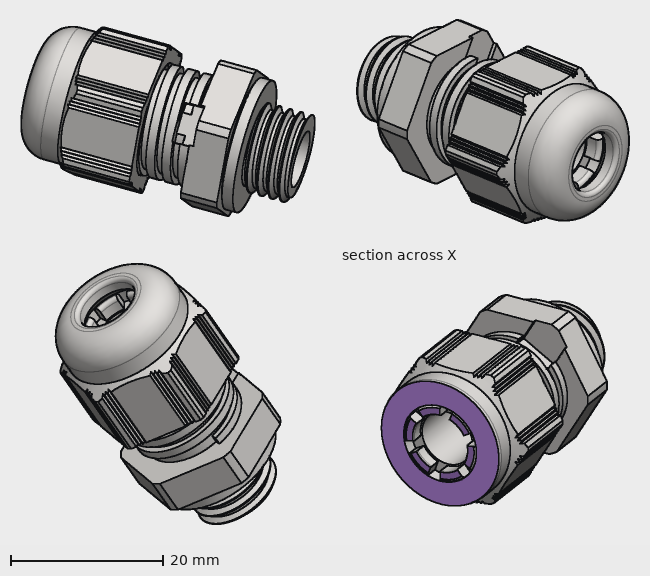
import cadquery as cq
import math


DOME_END_X = 6.15
CAP_END_X = 16.65
HEX_START_X = 23.7
HEX_END_X = 28.7
WASHER_START_X = 28.9
WASHER_END_X = 30.4
TOTAL_LENGTH = 36.75

DOME_DIAMETER = 17.97
DOME_FACE_DIAMETER = 10.47
DOME_ROUNDING = (DOME_DIAMETER - DOME_FACE_DIAMETER) / 2
CAP_ACROSS_FLATS = 19.05
CAP_ACROSS_CORNERS = 21.7
CAP_CONE_END_X = 7.57
CABLE_DIAMETER = 8.25
CABLE_LIP_ROUNDING = 0.6
CABLE_LIP_END_X = 1.9
FINGER_CHAMBER_DIAMETER = 11.25
FINGER_CHAMBER_END_X = 9.92
CAP_BORE_DIAMETER = 15.3
GROOVE_WIDTH = 0.48
GROOVE_PITCH = 0.5
GROOVE_DEPTH = GROOVE_WIDTH / 2 * math.sqrt(3)
GROOVES_PER_GROUP = 3
GROOVE_GROUP_CENTRE = 3.68

BODY_BORE_DIAMETER = 7.65
TUBE_START_X = 10.3
TUBE_DIAMETER = 13.38
HEX_ACROSS_FLATS = 18.9
HEX_ACROSS_CORNERS = 21.13
SEAT_DIAMETER = 17.13

FINGER_START_X = 2.95
FINGER_ROOT_X = 5.15
FINGER_BORE_DIAMETER = 8.15
FINGER_DIAMETER = 11.02
FINGER_TAPER = 0.65
FINGER_ROUNDING = 0.6
FINGER_COUNT = 6
FINGER_GAP_ANGLE = 20.0
FIRST_GAP_ANGLE = -20.0

CAP_THREAD_DIAMETER = 15.15
CAP_THREAD_PITCH = 2.185
CAP_THREAD_CREST = 1.2
CAP_THREAD_BASE = 1.25
CAP_THREAD_START_X = 12.5
CAP_THREAD_END_X = 23.23

ENTRY_THREAD_DIAMETER = 12.05
ENTRY_ROOT_DIAMETER = 10.5
ENTRY_THREAD_PITCH = 1.5
ENTRY_THREAD_CREST = 0.15
ENTRY_THREAD_BASE = 1.03
ENTRY_THREAD_START_X = 28.65

POCKET_CORNER_ANGLE = 120.0
POCKET_WIDTH = 5.45
POCKET_START_X = 20.95
POCKET_END_X = 24.25
POCKET_FLOOR = 5.75
POCKET_STEP_X = 22.12
POCKET_STEP_DIAMETER = 11.25
TOOTH_WIDTH = 2.85

WASHER_DIAMETER = 17.97

THREAD_OVERLAP = 0.2
CLEAR = 14.7


def disc(diameter, start_x, end_x):
    """Solid cylinder on the X axis."""
    return cq.Workplane("YZ").workplane(offset=start_x).circle(diameter / 2).extrude(end_x - start_x)


def revolved(profile):
    """Turn a closed profile drawn in X and radius about the X axis."""
    return profile.close().revolve(360, (0, 0, 0), (1, 0, 0))


def hexagon(across_flats, across_corners, start_x, end_x):
    """Hexagonal bar with flats on top and bottom and its corners turned down."""
    sharp_corners = across_flats / math.cos(math.radians(30))
    bar = cq.Workplane("YZ").workplane(offset=start_x).polygon(6, sharp_corners).extrude(end_x - start_x)
    return bar.intersect(disc(across_corners, start_x, end_x))


def thread_ridge(root_diameter, diameter, pitch, crest, base, start_x, end_x):
    """Right-handed ridge whose centre starts on the -Z side; its base reaches into the root cylinder."""
    root = root_diameter / 2
    top = diameter / 2
    foot = root - THREAD_OVERLAP
    foot_half = base / 2 + THREAD_OVERLAP * (base - crest) / 2 / (top - root)
    profile = cq.Workplane("XZ").polyline(
        [(foot, -foot_half), (top, -crest / 2), (top, crest / 2), (foot, foot_half)]
    ).close()
    path = cq.Workplane(cq.Wire.makeHelix(pitch, end_x - start_x, root))
    ridge = profile.sweep(path, isFrenet=True)
    return ridge.rotate((0, 0, 0), (0, 1, 0), 90).translate((start_x, 0, 0))



def cap_outside():
    """Domed front, cone up to the hexagon corners, hexagonal grip."""
    dome_radius = DOME_DIAMETER / 2
    corner_radius = CAP_ACROSS_CORNERS / 2
    dome = revolved(
        cq.Workplane("XY")
        .moveTo(0, 0)
        .lineTo(0, DOME_FACE_DIAMETER / 2)
        .radiusArc((DOME_ROUNDING, dome_radius), DOME_ROUNDING)
        .lineTo(CAP_END_X, dome_radius)
        .lineTo(CAP_END_X, 0)
    )
    cone = revolved(
        cq.Workplane("XY")
        .moveTo(DOME_END_X, 0)
        .lineTo(DOME_END_X, dome_radius)
        .lineTo(CAP_CONE_END_X, corner_radius)
        .lineTo(CAP_END_X, corner_radius)
        .lineTo(CAP_END_X, 0)
    )
    grip = hexagon(CAP_ACROSS_FLATS, CAP_ACROSS_CORNERS, DOME_END_X, CAP_END_X)
    return dome.union(grip.cut(grip_grooves()).intersect(cone))


def grip_grooves():
    """V grooves, one group near each end of every flat."""
    flat = CAP_ACROSS_FLATS / 2
    opening = GROOVE_WIDTH / 2
    grooves = cq.Workplane("YZ").workplane(offset=DOME_END_X)
    for side in (-1, 1):
        for i in range(GROOVES_PER_GROUP):
            centre = side * GROOVE_GROUP_CENTRE + (i - (GROOVES_PER_GROUP - 1) / 2) * GROOVE_PITCH
            grooves = grooves.polyline(
                [(centre - opening, flat), (centre + opening, flat), (centre, flat - GROOVE_DEPTH)]
            ).close()
    one_flat = grooves.extrude(CAP_END_X - DOME_END_X)
    all_flats = [
        solid
        for k in range(6)
        for solid in one_flat.rotate((0, 0, 0), (1, 0, 0), 60 * k).solids().vals()
    ]
    return cq.Workplane(cq.Compound.makeCompound(all_flats))


def cap_inside():
    """Rounded cable opening, chamber for the fingers and bore over the cap thread."""
    cable = CABLE_DIAMETER / 2
    chamber = FINGER_CHAMBER_DIAMETER / 2
    bore = CAP_BORE_DIAMETER / 2
    return revolved(
        cq.Workplane("XY")
        .moveTo(0, 0)
        .lineTo(0, cable + CABLE_LIP_ROUNDING)
        .radiusArc((CABLE_LIP_ROUNDING, cable), -CABLE_LIP_ROUNDING)
        .lineTo(CABLE_LIP_END_X, cable)
        .lineTo(CABLE_LIP_END_X + chamber - cable, chamber)
        .lineTo(FINGER_CHAMBER_END_X, chamber)
        .lineTo(FINGER_CHAMBER_END_X, bore)
        .lineTo(CAP_END_X, bore)
        .lineTo(CAP_END_X, 0)
    )


def make_cap_nut():
    return cap_outside().cut(cap_inside())



def fingers():
    """Slotted sleeve, tapered outside and rounded inside at its front."""
    inner = FINGER_BORE_DIAMETER / 2
    outer = FINGER_DIAMETER / 2
    sleeve = revolved(
        cq.Workplane("XY")
        .moveTo(FINGER_START_X + FINGER_ROUNDING, inner)
        .radiusArc((FINGER_START_X, inner + FINGER_ROUNDING), FINGER_ROUNDING)
        .lineTo(FINGER_START_X, outer - FINGER_TAPER)
        .lineTo(FINGER_START_X + FINGER_TAPER, outer)
        .lineTo(TUBE_START_X, outer)
        .lineTo(TUBE_START_X, BODY_BORE_DIAMETER / 2)
        .lineTo(FINGER_ROOT_X, BODY_BORE_DIAMETER / 2)
        .lineTo(FINGER_ROOT_X, inner)
    )
    gap_spread = CLEAR * math.tan(math.radians(FINGER_GAP_ANGLE / 2))
    for i in range(FINGER_COUNT):
        gap = (
            cq.Workplane("YZ")
            .workplane(offset=FINGER_START_X)
            .polyline([(0, 0), (CLEAR, -gap_spread), (CLEAR, gap_spread)])
            .close()
            .extrude(FINGER_ROOT_X - FINGER_START_X)
        )
        sleeve = sleeve.cut(gap.rotate((0, 0, 0), (1, 0, 0), FIRST_GAP_ANGLE + 360 / FINGER_COUNT * i))
    return sleeve


def corner_block(width, bottom, start_x, end_x):
    """Block rising from the given distance off the axis towards the pocket's hexagon corner."""
    block = cq.Workplane("XY").box(end_x - start_x, CLEAR, width, centered=(False, False, True))
    return block.translate((start_x, bottom, 0)).rotate((0, 0, 0), (1, 0, 0), POCKET_CORNER_ANGLE)


def locking_pocket():
    """Flat-bottomed pocket; its front part goes deeper on both sides of a tooth."""
    flat = corner_block(POCKET_WIDTH, POCKET_FLOOR, POCKET_START_X, POCKET_END_X)
    deep = (
        corner_block(POCKET_WIDTH, 0, POCKET_START_X, POCKET_STEP_X)
        .cut(disc(POCKET_STEP_DIAMETER, POCKET_START_X, POCKET_STEP_X))
        .cut(corner_block(TOOTH_WIDTH, 0, POCKET_START_X, POCKET_STEP_X))
    )
    return flat.union(deep)


def entry_thread():
    """V ridge trimmed at the washer and at the end of the body."""
    ridge = thread_ridge(
        ENTRY_ROOT_DIAMETER, ENTRY_THREAD_DIAMETER, ENTRY_THREAD_PITCH, ENTRY_THREAD_CREST,
        ENTRY_THREAD_BASE, ENTRY_THREAD_START_X, TOTAL_LENGTH + ENTRY_THREAD_PITCH,
    )
    return ridge.intersect(disc(CLEAR, WASHER_END_X, TOTAL_LENGTH))


def make_body():
    cap_thread = thread_ridge(
        TUBE_DIAMETER, CAP_THREAD_DIAMETER, CAP_THREAD_PITCH, CAP_THREAD_CREST,
        CAP_THREAD_BASE, CAP_THREAD_START_X, CAP_THREAD_END_X,
    )
    return (
        disc(TUBE_DIAMETER, TUBE_START_X, HEX_END_X)
        .union(cap_thread)
        .union(hexagon(HEX_ACROSS_FLATS, HEX_ACROSS_CORNERS, HEX_START_X, HEX_END_X))
        .cut(locking_pocket())
        .union(disc(SEAT_DIAMETER, HEX_END_X, WASHER_START_X))
        .union(disc(ENTRY_ROOT_DIAMETER, WASHER_START_X, TOTAL_LENGTH))
        .union(entry_thread())
        .cut(disc(BODY_BORE_DIAMETER, TUBE_START_X, TOTAL_LENGTH))
        .union(fingers())
    )



def make_washer():
    ring = disc(WASHER_DIAMETER, WASHER_START_X, WASHER_END_X)
    return ring.cut(disc(ENTRY_ROOT_DIAMETER, WASHER_START_X, WASHER_END_X))


cap_nut = make_cap_nut()
body = make_body()
washer = make_washer()

result = cq.Compound.makeCompound([cap_nut.solids().val(), body.solids().val(), washer.solids().val()])